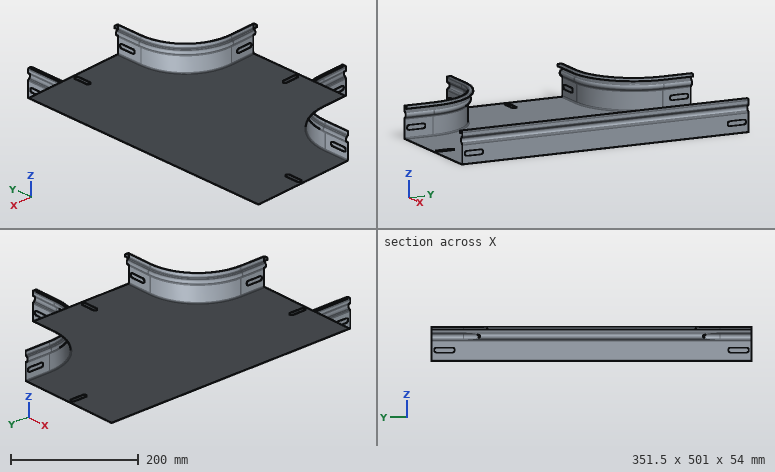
import cadquery as cq
import math

length_x = 351.5
length_y = 501.0
height = 54.0
sheet = 0.75

channel_width = 202.5
corner_radius = 99.5
wall_x = length_x - channel_width
stem_half_width = channel_width / 2
stem_straight = wall_x - corner_radius
run_straight = length_y / 2 - stem_half_width - corner_radius

floor_bend_radius = 2.0
bead_center_z = 39.0
bead_depth = 4.5
bead_angle = 50
bead_crown_radius = 5.0
bead_shoulder_radius = 2.0
rim_bend_radius = 2.0
rim_width = 9.0
hook_radius = 2.5
hook_angle = 150

bead_arcs = bead_crown_radius + bead_shoulder_radius
bead_sin = math.sin(math.radians(bead_angle))
bead_cos = math.cos(math.radians(bead_angle))
bead_flank = (bead_depth - bead_arcs * (1 - bead_cos)) / bead_sin
bead_half_height = bead_arcs * bead_sin + bead_flank * bead_cos

mark_length = 32.0
mark_width = 8.0
mark_step = 0.25
mark_from_end = 20.5
wall_mark_z = 17.5

wall_steps = [
    (floor_bend_radius, 90),
    (bead_center_z - bead_half_height - floor_bend_radius, 0),
    (bead_shoulder_radius, bead_angle),
    (bead_flank, 0),
    (bead_crown_radius, -2 * bead_angle),
    (bead_flank, 0),
    (bead_shoulder_radius, bead_angle),
    (height - rim_bend_radius - bead_center_z - bead_half_height, 0),
    (rim_bend_radius, 90),
    (rim_width - rim_bend_radius - hook_radius, 0),
    (hook_radius, hook_angle),
]


def trace_face(depth):
    """Points along the sheet surface lying `depth` inside the outer face: start, mid, end, mid, end..."""
    u, z = floor_bend_radius, depth
    heading = 180.0
    points = [(u, z)]
    for size, turn in wall_steps:
        if turn == 0:
            chords = [(size / 2, heading)] * 2
        else:
            radius = size - math.copysign(depth, turn)
            half_turn = abs(turn) / 2
            chord = 2 * radius * math.sin(math.radians(half_turn / 2))
            chords = [(chord, heading - turn / 4), (chord, heading - 3 * turn / 4)]
        for distance, direction in chords:
            u += distance * math.cos(math.radians(direction))
            z += distance * math.sin(math.radians(direction))
            points.append((u, z))
        heading -= turn
    return points


def follow(sketch, points, turns):
    """Draw one line or arc per step through the traced points."""
    for index, turn in enumerate(turns):
        mid, end = points[2 * index + 1:2 * index + 3]
        if turn == 0:
            sketch = sketch.lineTo(*end)
        else:
            sketch = sketch.threePointArc(mid, end)
    return sketch


def wall_section(origin, inward, along):
    """Closed wall section at `origin`, with its rim reaching towards `inward`."""
    turns = [turn for _, turn in wall_steps]
    outer = trace_face(0)
    inner = trace_face(sheet)[::-1]
    sketch = cq.Workplane(cq.Plane(origin=origin, xDir=inward, normal=along)).moveTo(*outer[0])
    sketch = follow(sketch, outer, turns)
    sketch = sketch.lineTo(*inner[0])
    return follow(sketch, inner, turns[::-1]).close()


def corner_wall():
    """Wall on the -Y side of the stem, curving round into the -Y arm of the run."""
    arc_start = (stem_straight, -stem_half_width, 0)
    arc_end = (wall_x, -stem_half_width - corner_radius, 0)
    stem = wall_section((0, -stem_half_width, 0), (0, 1, 0), (1, 0, 0)).extrude(stem_straight)
    bend = wall_section(arc_start, (0, 1, 0), (1, 0, 0)).revolve(
        90, (-corner_radius, 5), (-corner_radius, 0)
    )
    run = wall_section(arc_end, (1, 0, 0), (0, -1, 0)).extrude(run_straight)
    return stem.union(bend).union(run)


def back_wall():
    return wall_section((length_x, -length_y / 2, 0), (-1, 0, 0), (0, 1, 0)).extrude(length_y)


def floor_plate():
    """Flat floor reaching to where the wall bends begin."""
    inset = floor_bend_radius
    back_x = length_x - inset
    front_x = wall_x + inset
    end_y = length_y / 2
    side_y = stem_half_width - inset
    arc_y = stem_half_width + corner_radius
    radius = corner_radius + inset
    mid_x = stem_straight + radius * math.sqrt(0.5)
    mid_y = arc_y - radius * math.sqrt(0.5)
    return (
        cq.Workplane("XY")
        .moveTo(0, -side_y)
        .lineTo(stem_straight, -side_y)
        .threePointArc((mid_x, -mid_y), (front_x, -arc_y))
        .lineTo(front_x, -end_y)
        .lineTo(back_x, -end_y)
        .lineTo(back_x, end_y)
        .lineTo(front_x, end_y)
        .lineTo(front_x, arc_y)
        .threePointArc((mid_x, mid_y), (stem_straight, side_y))
        .lineTo(0, side_y)
        .close()
        .extrude(sheet)
    )


def emboss(tray, center, along, inward):
    """Press a mark into the sheet: a recess in the outer face and an equal pad on the inner face."""
    outline = cq.Workplane(cq.Plane(origin=center, xDir=along, normal=inward)).slot2D(mark_length, mark_width)
    recess = outline.extrude(mark_step)
    pad = recess.translate(cq.Vector(*inward) * sheet)
    return tray.cut(recess).union(pad)


corner = corner_wall()
result = floor_plate().union(back_wall()).union(corner).union(corner.mirror("XZ"))

result = emboss(result, (mark_from_end, 0, 0), (1, 0, 0), (0, 0, 1))
for side in (-1, 1):
    wall_center = (mark_from_end, side * stem_half_width, wall_mark_z)
    result = emboss(result, wall_center, (1, 0, 0), (0, -side, 0))

for side in (-1, 1):
    mark_y = side * (length_y / 2 - mark_from_end)
    result = emboss(result, (length_x - channel_width / 2, mark_y, 0), (0, 1, 0), (0, 0, 1))
    result = emboss(result, (wall_x, mark_y, wall_mark_z), (0, 1, 0), (1, 0, 0))
    result = emboss(result, (length_x, mark_y, wall_mark_z), (0, 1, 0), (-1, 0, 0))